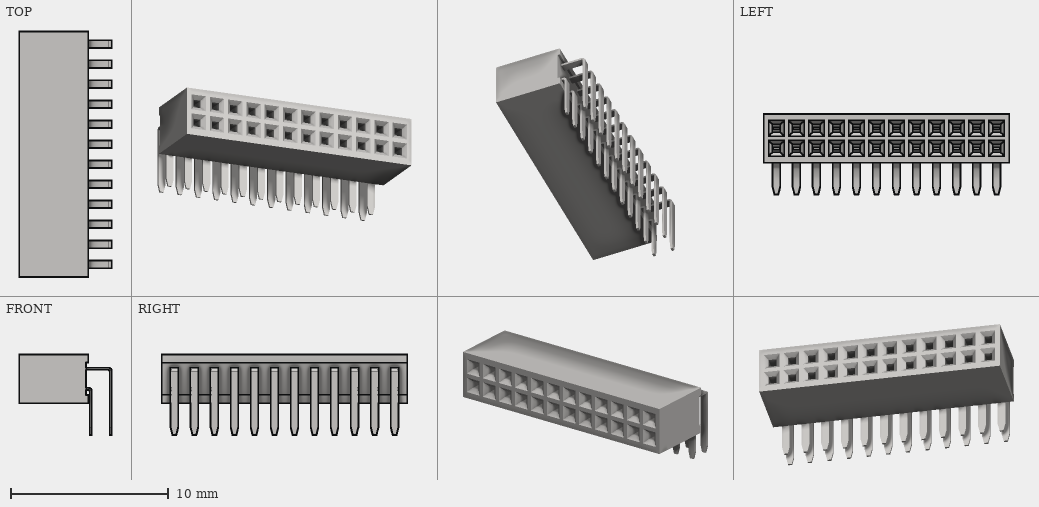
import cadquery as cq

pitch = 1.27
contact_count = 12
row_count = 2

end_margin = 0.175
body_depth = 4.4
body_width = contact_count * pitch + 2 * end_margin
body_height = 3.1
rear_recess_depth = 0.15
rear_lip_height = 0.53
rear_wall_x = body_depth - rear_recess_depth

mouth_size = 1.0
bore_size = 0.5
taper_depth = 0.25
socket_depth = 3.0

pin_width = 0.5
pin_thickness = 0.15
bend_inner_radius = pin_thickness / 2
bend_outer_radius = bend_inner_radius + pin_thickness
tip_width = 0.25
tip_length = 0.5
pin_end_z = -2.02
rear_row_outer_x = 5.89

blade_width = 0.42
blade_start_x = 1.0

contact_positions = [(i - (contact_count - 1) / 2) * pitch for i in range(contact_count)]
row_offsets = [(i - (row_count - 1) / 2) * pitch for i in range(row_count)]


def make_housing():
    """Plain block with a channel along the full width of its rear face."""
    block = cq.Workplane("XY").box(
        body_depth, body_width, body_height, centered=(False, True, False)
    )
    channel = (
        cq.Workplane("XY")
        .box(
            rear_recess_depth,
            body_width,
            body_height - 2 * rear_lip_height,
            centered=(False, True, False),
        )
        .translate((rear_wall_x, 0, rear_lip_height))
    )
    return block.cut(channel)


def make_socket(y, z):
    """Pyramidal lead-in followed by a square bore, both cut from the mating face."""
    lead_in = (
        cq.Workplane("YZ", origin=(0, y, z))
        .rect(mouth_size, mouth_size)
        .workplane(offset=taper_depth)
        .rect(bore_size, bore_size)
        .loft(ruled=True)
    )
    bore = cq.Workplane("YZ", origin=(taper_depth, y, z)).rect(bore_size, bore_size)
    return lead_in.union(bore.extrude(socket_depth - taper_depth))


def make_blade(y, z):
    """Contact blade standing in the bore, joined to its floor."""
    blade = cq.Workplane("YZ", origin=(blade_start_x, y, z))
    return blade.rect(blade_width, pin_thickness).extrude(socket_depth - blade_start_x)


def make_pin(y, z, outer_x):
    """Flat strip leaving the rear wall, bent down through 90 degrees, with a tapered tip."""
    top = z + pin_thickness / 2
    strip = (
        cq.Workplane("XZ", origin=(0, y + pin_width / 2, 0))
        .moveTo(rear_wall_x, top)
        .lineTo(outer_x - bend_outer_radius, top)
        .radiusArc((outer_x, top - bend_outer_radius), bend_outer_radius)
        .lineTo(outer_x, pin_end_z)
        .lineTo(outer_x - pin_thickness, pin_end_z)
        .lineTo(outer_x - pin_thickness, top - bend_outer_radius)
        .radiusArc((outer_x - bend_outer_radius, top - pin_thickness), -bend_inner_radius)
        .lineTo(rear_wall_x, top - pin_thickness)
        .close()
        .extrude(pin_width)
    )
    outline = (
        cq.Workplane("YZ", origin=(0, y, 0))
        .moveTo(-tip_width / 2, pin_end_z)
        .lineTo(tip_width / 2, pin_end_z)
        .lineTo(pin_width / 2, pin_end_z + tip_length)
        .lineTo(pin_width / 2, top)
        .lineTo(-pin_width / 2, top)
        .lineTo(-pin_width / 2, pin_end_z + tip_length)
        .close()
        .extrude(outer_x)
    )
    return strip.intersect(outline)


sockets = []
metal = []
for row_offset in row_offsets:
    row_z = body_height / 2 + row_offset
    row_outer_x = rear_row_outer_x - (row_offsets[-1] - row_offset)
    for contact_y in contact_positions:
        sockets.append(make_socket(contact_y, row_z).val())
        metal.append(make_blade(contact_y, row_z).val())
        metal.append(make_pin(contact_y, row_z, row_outer_x).val())

housing = make_housing().val().cut(*sockets)
result = cq.Workplane("XY").newObject([housing.fuse(*metal)])